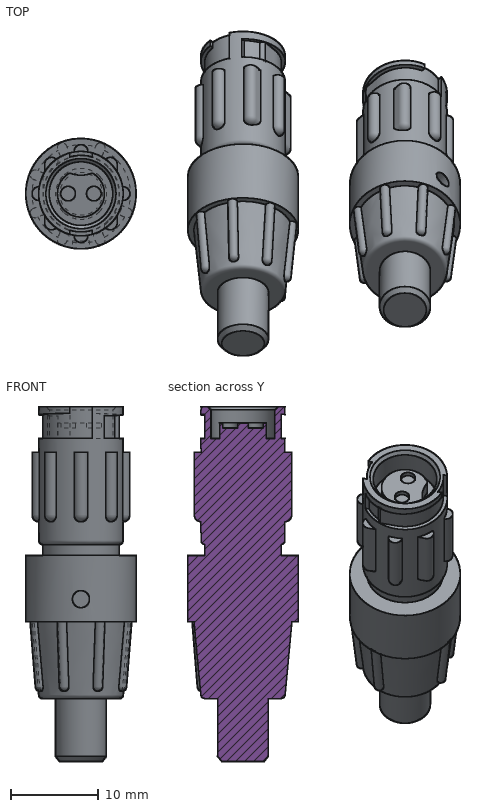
import cadquery as cq
import math

TOTAL_HEIGHT = 40.77
STEM_CHAMFER_HEIGHT = 0.6
GRIP_BOTTOM = 7.22
COLLAR_BOTTOM = 16.05
COLLAR_TOP = 23.68
SLEEVE_BOTTOM = 24.9
BAYONET_FLOOR = 37.13

STEM_RADIUS = 2.93
STEM_END_RADIUS = 2.45
SLEEVE_RADIUS = 4.85
NECK_RADIUS = 4.4
COLLAR_RADIUS = 6.35
GRIP_BOTTOM_RADIUS = 4.83
GRIP_TOP_RADIUS = 5.65
EDGE_FILLET = 0.5

COLLAR_HOLE_RADIUS = 0.98
COLLAR_HOLE_HEIGHT = 18.66
COLLAR_HOLE_DEPTH = 0.95

RIB_COUNT = 8
RIB_PITCH = 360 / RIB_COUNT
SLEEVE_RIB_RADIUS = 0.79
SLEEVE_RIB_CENTRE = 4.83
DIAGONAL_RIB_CENTRE = 4.77
SLEEVE_RIB_BOTTOM = 28.32
SLEEVE_RIB_TOP = 35.54
GRIP_RIB_RADIUS = 0.56
GRIP_RIB_BOTTOM = 8.64
GRIP_RIB_BOTTOM_CENTRE = 5.08
GRIP_RIB_TOP_CENTRE = 5.72
GRIP_RIB_OVERLAP = 0.2

BORE_RADIUS = 3.65
BORE_CHAMFER = 0.38
INSERT_RADIUS = 2.7
INSERT_RECESS = 1.87
KEYWAY_HALF_WIDTH = 1.3
KEYWAY_CORNER_FILLET = 0.4
KEYWAY_FLOOR = 2.11
PIN_SPACING = 2.95
PIN_HOLE_RADIUS = 0.84
PIN_HOLE_DEPTH = 0.58

GROOVE_RADIUS = NECK_RADIUS
ENTRY_HALF_WIDTH = 1.31
GROOVE_ARC_MIDDLE = 225
HUMP_LENGTH = 1.9
SEAT_START_Y = 2.25
GROOVE_END_X = -2.65
SEAT_RADIUS = 4.47
LIP_AT_ENTRY = 0.76
LIP_AT_SEAT = 1.08
CLEARANCE = 1.0


def on_circle(radius, angle):
    return (radius * math.cos(math.radians(angle)), radius * math.sin(math.radians(angle)))


def other_leg(radius, leg):
    """Second coordinate of the point on a centred circle whose first coordinate is leg."""
    return math.sqrt(radius**2 - leg**2)


def polar_angle(point):
    return math.degrees(math.atan2(point[1], point[0]))


def disc(radius, bottom, top):
    return cq.Workplane("XY").workplane(offset=bottom).circle(radius).extrude(top - bottom)


def make_body():
    stem = (
        cq.Workplane("XZ")
        .moveTo(0, 0)
        .lineTo(STEM_END_RADIUS, 0)
        .lineTo(STEM_RADIUS, STEM_CHAMFER_HEIGHT)
        .lineTo(STEM_RADIUS, GRIP_BOTTOM)
        .lineTo(0, GRIP_BOTTOM)
        .close()
        .revolve(360, (0, 0), (0, 1))
    )
    grip = (
        cq.Workplane("XY")
        .workplane(offset=GRIP_BOTTOM)
        .circle(GRIP_BOTTOM_RADIUS)
        .workplane(offset=COLLAR_BOTTOM - GRIP_BOTTOM)
        .circle(GRIP_TOP_RADIUS)
        .loft()
        .faces("<Z")
        .edges()
        .fillet(EDGE_FILLET)
    )
    collar = disc(COLLAR_RADIUS, COLLAR_BOTTOM, COLLAR_TOP)
    neck = disc(NECK_RADIUS, COLLAR_TOP, SLEEVE_BOTTOM)
    sleeve = disc(SLEEVE_RADIUS, SLEEVE_BOTTOM, TOTAL_HEIGHT).faces("<Z").edges().fillet(EDGE_FILLET)
    return stem.union(grip).union(collar).union(neck).union(sleeve)


def make_round_rib(x, y):
    """Upright round rib with a ball-shaped lower end."""
    shaft = disc(SLEEVE_RIB_RADIUS, SLEEVE_RIB_BOTTOM, SLEEVE_RIB_TOP)
    ball = cq.Workplane("XY").sphere(SLEEVE_RIB_RADIUS).translate((0, 0, SLEEVE_RIB_BOTTOM))
    return shaft.union(ball).translate((x, y, 0))


def make_diagonal_rib(x, y):
    """Round rib whose flanks run straight along Y into the sleeve."""
    web_length = abs(y)
    web = (
        cq.Workplane("XY")
        .workplane(offset=SLEEVE_RIB_BOTTOM)
        .center(x, y / 2)
        .rect(2 * SLEEVE_RIB_RADIUS, web_length)
        .extrude(SLEEVE_RIB_TOP - SLEEVE_RIB_BOTTOM)
    )
    rounded_end = (
        cq.Workplane("XZ")
        .center(x, SLEEVE_RIB_BOTTOM)
        .circle(SLEEVE_RIB_RADIUS)
        .extrude(web_length / 2, both=True)
        .translate((0, y / 2, 0))
    )
    return make_round_rib(x, y).union(web).union(rounded_end)


def add_sleeve_ribs(body):
    for index in range(RIB_COUNT):
        angle = index * RIB_PITCH
        is_diagonal = index % 2 == 1
        if is_diagonal:
            rib = make_diagonal_rib(*on_circle(DIAGONAL_RIB_CENTRE, angle))
        else:
            rib = make_round_rib(*on_circle(SLEEVE_RIB_CENTRE, angle))
        body = body.union(rib)
    return body


def add_grip_ribs(body):
    """Leaning round ribs that follow the taper of the grip."""
    lean = GRIP_RIB_TOP_CENTRE - GRIP_RIB_BOTTOM_CENTRE
    height = COLLAR_BOTTOM - GRIP_RIB_BOTTOM
    foot = cq.Vector(GRIP_RIB_BOTTOM_CENTRE, 0, GRIP_RIB_BOTTOM)
    path = cq.Vector(lean, 0, height)
    shaft = cq.Solid.makeCylinder(GRIP_RIB_RADIUS, path.Length + GRIP_RIB_OVERLAP, foot, path)
    ball = cq.Workplane("XY").sphere(GRIP_RIB_RADIUS).translate(foot.toTuple())
    rib = ball.union(cq.Workplane(obj=shaft))
    for index in range(RIB_COUNT):
        angle = (index + 0.5) * RIB_PITCH
        body = body.union(rib.rotate((0, 0, 0), (0, 0, 1), angle))
    return body


def cut_collar_hole(body):
    hole = (
        cq.Workplane("XZ", origin=(0, -COLLAR_RADIUS + COLLAR_HOLE_DEPTH, COLLAR_HOLE_HEIGHT))
        .circle(COLLAR_HOLE_RADIUS)
        .extrude(COLLAR_HOLE_DEPTH + CLEARANCE)
    )
    return body.cut(hole)


def make_insert():
    """Round contact carrier with a curved keyway on its +Y side and two pin holes."""
    shoulder_y = other_leg(INSERT_RADIUS, KEYWAY_HALF_WIDTH)
    insert_top = TOTAL_HEIGHT - INSERT_RECESS
    return (
        cq.Workplane("XY")
        .workplane(offset=BAYONET_FLOOR)
        .moveTo(-KEYWAY_HALF_WIDTH, shoulder_y)
        .threePointArc((0, KEYWAY_FLOOR), (KEYWAY_HALF_WIDTH, shoulder_y))
        .threePointArc((0, -INSERT_RADIUS), (-KEYWAY_HALF_WIDTH, shoulder_y))
        .close()
        .extrude(insert_top - BAYONET_FLOOR)
        .edges("|Z")
        .fillet(KEYWAY_CORNER_FILLET)
        .faces(">Z")
        .workplane(origin=(0, 0, insert_top))
        .pushPoints([(-PIN_SPACING / 2, 0), (PIN_SPACING / 2, 0)])
        .circle(PIN_HOLE_RADIUS)
        .cutBlind(-PIN_HOLE_DEPTH)
    )


def cut_socket(body):
    bore = disc(BORE_RADIUS, BAYONET_FLOOR, TOTAL_HEIGHT)
    socket = body.cut(bore).faces(">Z").edges("%CIRCLE").edges(cq.selectors.RadiusNthSelector(0))
    return socket.chamfer(BORE_CHAMFER).union(make_insert())


def make_bayonet_groove():
    """Entry slot on the -Y side and the groove leading from it, around -X, to the pin seat."""
    reach = SLEEVE_RADIUS + CLEARANCE
    entry_y = -other_leg(GROOVE_RADIUS, ENTRY_HALF_WIDTH)
    seat_start = (-other_leg(SEAT_RADIUS, SEAT_START_Y), SEAT_START_Y)
    seat_end = (GROOVE_END_X, other_leg(SEAT_RADIUS, GROOVE_END_X))
    seat_middle = on_circle(SEAT_RADIUS, (polar_angle(seat_start) + polar_angle(seat_end)) / 2)
    height = TOTAL_HEIGHT - BAYONET_FLOOR
    outline = (
        cq.Workplane("XY")
        .workplane(offset=BAYONET_FLOOR)
        .moveTo(ENTRY_HALF_WIDTH, entry_y)
        .threePointArc(on_circle(GROOVE_RADIUS, GROOVE_ARC_MIDDLE), (-GROOVE_RADIUS, 0))
        .lineTo(-GROOVE_RADIUS, HUMP_LENGTH)
        .lineTo(*seat_start)
        .threePointArc(seat_middle, seat_end)
        .lineTo(GROOVE_END_X, other_leg(reach, GROOVE_END_X))
        .threePointArc((-reach, 0), (0, -reach))
        .lineTo(ENTRY_HALF_WIDTH, -reach)
        .close()
        .extrude(height)
    )
    seat_end_y = other_leg(SLEEVE_RADIUS, GROOVE_END_X)
    slope = (LIP_AT_SEAT - LIP_AT_ENTRY) / (seat_end_y + SLEEVE_RADIUS)
    lip = (
        cq.Workplane("YZ", origin=(-ENTRY_HALF_WIDTH, 0, TOTAL_HEIGHT))
        .moveTo(-reach, 0)
        .lineTo(-reach, -LIP_AT_ENTRY + slope * CLEARANCE)
        .lineTo(reach, -LIP_AT_ENTRY - slope * (reach + SLEEVE_RADIUS))
        .lineTo(reach, 0)
        .close()
        .extrude(-reach)
    )
    return outline.cut(lip)


def cut_bayonet(body):
    groove = make_bayonet_groove()
    opposite_groove = groove.rotate((0, 0, 0), (0, 0, 1), 180)
    return body.cut(groove).cut(opposite_groove)


result = make_body()
result = add_sleeve_ribs(result)
result = add_grip_ribs(result)
result = cut_collar_hole(result)
result = cut_socket(result)
result = cut_bayonet(result)